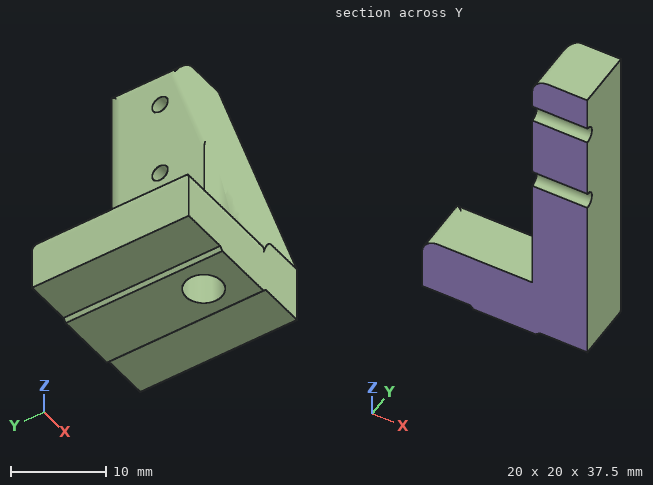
import cadquery as cq

SIDE = 20.0
HEIGHT = 37.5
BASE_TOP = 7.5
KEY_DEPTH = 0.4
KEY_WIDTH = 8.4
WALL_THICKNESS = 6.68
ROUND = 2.0
BOLT_DIAMETER = 4.5
CLEARANCE_RADIUS = 4.0
PIN_DIAMETER = 2.0
PIN_SPACING = 9.6
PIN_TOP_DROP = 5.2
PIN_Y = 12.85

MIDDLE = SIDE / 2
WALL_X = SIDE - WALL_THICKNESS
BOLT_Y = SIDE / 4
SLOPE_RUN = MIDDLE / (HEIGHT - BASE_TOP)
WALL_BOTTOM = KEY_DEPTH
SLOPE_FOOT_Y = -SLOPE_RUN * (BASE_TOP - WALL_BOTTOM)


def make_base():
    block = cq.Workplane("XY").box(SIDE, SIDE, BASE_TOP - KEY_DEPTH, centered=False)
    block = block.translate((0, 0, KEY_DEPTH))
    return block.faces(">Z").edges("<X or <Y or >Y").fillet(ROUND)


def make_key():
    """Full-length key with 45 degree flanks."""
    half_top = KEY_WIDTH / 2
    half_bottom = half_top - KEY_DEPTH
    outline = [
        (MIDDLE - half_top, KEY_DEPTH),
        (MIDDLE - half_bottom, 0),
        (MIDDLE + half_bottom, 0),
        (MIDDLE + half_top, KEY_DEPTH),
    ]
    return cq.Workplane("XZ").polyline(outline).close().extrude(-SIDE)


def sloped_slab(start_x, width):
    """Plate normal to X, with its front side cut back along the slope."""
    outline = [
        (SLOPE_FOOT_Y, WALL_BOTTOM),
        (SIDE, WALL_BOTTOM),
        (SIDE, HEIGHT),
        (MIDDLE, HEIGHT),
    ]
    return cq.Workplane("YZ", origin=(start_x, 0, 0)).polyline(outline).close().extrude(width)


def make_wall():
    """Sloped wall with a rounded inner outline and a rounded bolt-head relief."""
    plate = sloped_slab(WALL_X, WALL_THICKNESS)
    plate = plate.faces("<X").edges("not <Z").fillet(ROUND)

    relief = cq.Workplane("XY").center(MIDDLE, BOLT_Y).circle(CLEARANCE_RADIUS).extrude(HEIGHT)
    relieved_slab = sloped_slab(0, SIDE).cut(relief)
    relieved_slab = relieved_slab.edges("%ELLIPSE").fillet(ROUND)

    envelope = cq.Workplane("XY").box(SIDE, SIDE, HEIGHT, centered=False)
    return plate.intersect(relieved_slab).intersect(envelope)


bolt_hole = cq.Workplane("XY").center(MIDDLE, BOLT_Y).circle(BOLT_DIAMETER / 2).extrude(BASE_TOP)

upper_pin_z = HEIGHT - PIN_TOP_DROP
pin_centres = [(PIN_Y, upper_pin_z), (PIN_Y, upper_pin_z - PIN_SPACING)]
pin_holes = cq.Workplane("YZ").pushPoints(pin_centres).circle(PIN_DIAMETER / 2).extrude(SIDE)

result = make_base().union(make_key()).union(make_wall()).cut(bolt_hole).cut(pin_holes)